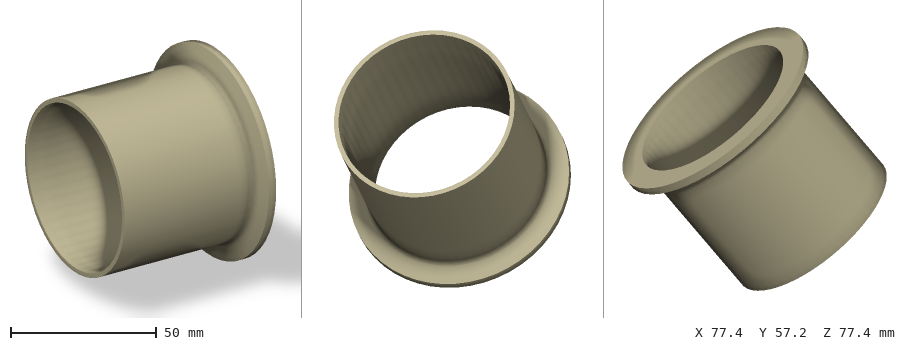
import cadquery as cq
import math

flange_diameter = 77.4
tube_diameter = 63.45
bore_diameter = 60.2
overall_length = 57.2
rim_thickness = 2.95
taper_angle = 20.0
root_fillet_radius = 1.55

flange_radius = flange_diameter / 2
tube_radius = tube_diameter / 2
bore_radius = bore_diameter / 2

taper_depth = (flange_radius - tube_radius) * math.tan(math.radians(taper_angle))
root_y = -(rim_thickness + taper_depth)

body = (
    cq.Workplane("XY")
    .moveTo(bore_radius, 0)
    .lineTo(flange_radius, 0)
    .lineTo(flange_radius, -rim_thickness)
    .lineTo(tube_radius, root_y)
    .lineTo(tube_radius, -overall_length)
    .lineTo(bore_radius, -overall_length)
    .close()
    .revolve(360, (0, 0, 0), (0, 1, 0))
)

root_edge = cq.selectors.NearestToPointSelector((0, root_y, 0))
result = body.edges("%CIRCLE").edges(root_edge).fillet(root_fillet_radius)